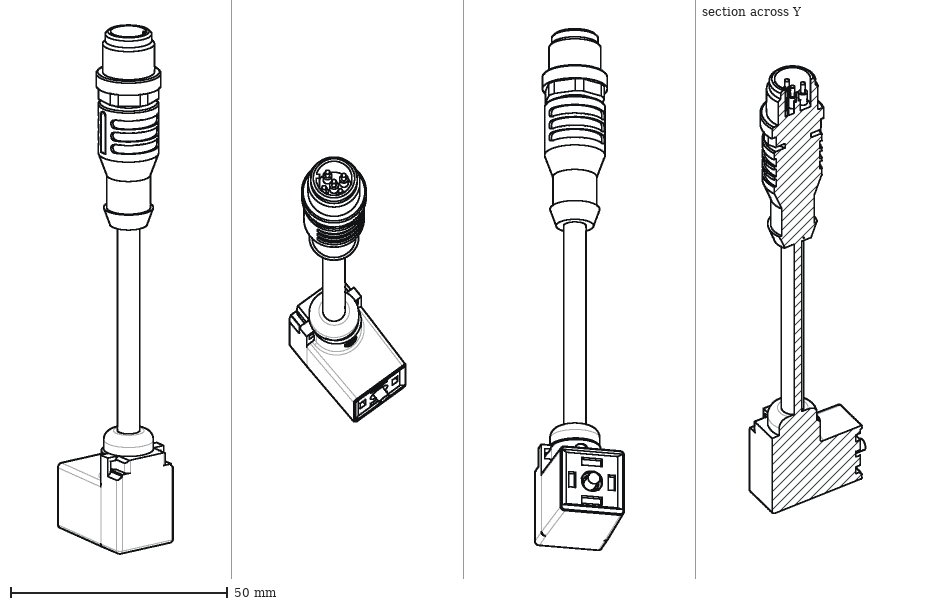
import cadquery as cq
import math


plug_top = 124.1
rim_bottom = 121.9
thread_top = 121.1
flange_top = 114.3
flange_bottom = 111.0
nut_bottom = 108
grip_top = 106.9
grip_bottom = 94.6
tail_top = 89.2
tail_ring_top = 81.3
tail_ring_bottom = 77.2

rim_d = 10.8
thread_d = 12.0
flange_d = 15.0
nut_corner_d = 14.0
neck_d = 8.7
grip_d = 14.0
tail_d = 10.2
tail_ring_d = 11.5
tail_end_d = 8.7
cable_d = 5.2

rim_chamfer = 0.6
flange_chamfer = 0.4
grip_chamfer = 0.4

plug_turn = -4.5
nut_flats = 13.0
groove_depth = 0.5
groove_width = 2.1
groove_pitch = 3.0
groove_middle = 100.5
groove_end_angle = 23
mark_width = 1.9
mark_bottom = 95.7
mark_top = 105.7
mark_depth = 0.2

socket_d = 8.3
socket_depth = 8.1
contact_d = 1.0
collar_d = 2.0
collar_height = 3.1
contact_circle_r = 2.7
contact_recess = 2.4
key_width = 1.0
key_height = 0.7
key_angle = 45

bushing_top = 27.0
bushing_d = 11.5
bushing_round = 2.2
sleeve_top = 22.6
sleeve_shift = 0.9
sleeve_chamfer = 0.6
sleeve_foot_round = 0.6
button_d = 3.4
button_height = 19.4
button_face = 6.2

housing_front = 17.6
housing_top = 15.9
front_width = 15.1
housing_round = 1.0
front_chamfer = 0.2

cover_back = 7.2
cover_width = 16.0
cover_round = 1.0
window_bottom = 19.1
window_top = 21.6
cover_rim = 0.9
notch_start = 2.9
notch_inner = bushing_d / 2
notch_low = 18.1
notch_slope = 1.0
notch_high = 19.5
notch_bevel = 0.7

panel_depth = 0.5
panel_width = 12.2
panel_rim_width = 14.4
panel_bottom = 1.9
panel_top = 14.5
panel_bevel = 0.5
face_height = 8.0
long_slot_width = 4.8
long_slot_height = 1.9
long_slot_offset = 4.7
side_slot_width = 1.6
side_slot_height = 3.7
side_slot_offset = 4.7
slot_depth = 1.2
screw_hole_d = 5
screw_bore_d = 3.8
screw_bore_depth = 2.2
screw_d = 2.9
overall_length_x = 26.7
screw_tip = overall_length_x - flange_d / 2


def cylinder(diameter, bottom, top):
    return cq.Workplane("XY", origin=(0, 0, bottom)).circle(diameter / 2).extrude(top - bottom)


def cone(bottom_d, bottom, top_d, top):
    profile = [(0, bottom), (bottom_d / 2, bottom), (top_d / 2, top), (0, top)]
    return cq.Workplane("XZ").polyline(profile).close().revolve(360, (0, 0), (0, 1))


def block(x_range, y_range, z_range):
    size = [high - low for low, high in (x_range, y_range, z_range)]
    corner = (x_range[0], y_range[0], z_range[0])
    return cq.Workplane("XY").box(*size, centered=False).translate(corner)


def front_cylinder(diameter, tip, depth, height):
    """Cylinder along X that starts at X = -tip and runs toward +X."""
    plane = cq.Workplane("YZ", origin=(-tip, 0, height))
    return plane.circle(diameter / 2).extrude(depth)


def make_nut():
    """Hexagon with its corners turned down to a cylinder."""
    corners_d = nut_flats / math.cos(math.pi / 6)
    hexagon = cq.Workplane("XY", origin=(0, 0, nut_bottom)).polygon(6, corners_d)
    hexagon = hexagon.extrude(flange_bottom - nut_bottom)
    return hexagon.intersect(cylinder(nut_corner_d, nut_bottom, flange_bottom))


def make_grooves():
    """Three rounded grooves around each of the two X sides of the grip."""
    end_x = grip_d / 2 * math.sin(math.radians(groove_end_angle))
    outer_x = grip_d
    ring = cylinder(2 * grip_d, grip_bottom, grip_top)
    ring = ring.cut(cylinder(grip_d - 2 * groove_depth, grip_bottom, grip_top))
    grooves = cq.Workplane("XY")
    for side in (-1, 1):
        for step in (-1, 0, 1):
            center = (side * (end_x + outer_x) / 2, 0, groove_middle + step * groove_pitch)
            bar = cq.Workplane("XZ", origin=center).slot2D(outer_x - end_x, groove_width)
            grooves = grooves.add(bar.extrude(grip_d, both=True).intersect(ring))
    return grooves


def make_mark():
    """Flat-bottomed upright recess with a round top, on the -Y side of the grip."""
    half = mark_width / 2
    plane = cq.Workplane("XZ", origin=(0, mark_depth - grip_d / 2, 0))
    outline = plane.moveTo(-half, mark_bottom).lineTo(half, mark_bottom).lineTo(half, mark_top - half)
    return outline.threePointArc((0, mark_top), (-half, mark_top - half)).close().extrude(grip_d)


def make_grip():
    grip = cylinder(grip_d, grip_bottom, grip_top).faces(">Z").chamfer(grip_chamfer)
    for groove in make_grooves().vals():
        grip = grip.cut(cq.Workplane(groove))
    return grip.cut(make_mark())


def make_socket():
    """Socket cavity with its key and its five contacts left standing."""
    floor = plug_top - socket_depth
    cavity = cylinder(socket_d, floor, plug_top)
    contact_top = plug_top - contact_recess
    spots = [(0, 0)] + [
        (contact_circle_r * math.cos(turn), contact_circle_r * math.sin(turn))
        for turn in (0, math.pi / 2, math.pi, 3 * math.pi / 2)
    ]
    contacts = cq.Workplane("XY", origin=(0, 0, floor)).pushPoints(spots)
    contacts = contacts.circle(contact_d / 2).extrude(contact_top - floor)
    collars = cq.Workplane("XY", origin=(0, 0, floor)).pushPoints(spots)
    contacts = contacts.union(collars.circle(collar_d / 2).extrude(collar_height))
    key_range = (socket_d / 2 - key_height, socket_d)
    key = block(key_range, (-key_width / 2, key_width / 2), (floor, plug_top))
    key = key.rotate((0, 0, 0), (0, 0, 1), key_angle - plug_turn)
    return cavity.cut(contacts).cut(key)


def make_plug():
    plug = cylinder(rim_d, rim_bottom, plug_top).faces(">Z").chamfer(rim_chamfer)
    plug = plug.union(cone(thread_d, thread_top, rim_d, rim_bottom))
    plug = plug.union(cylinder(thread_d, flange_top, thread_top))
    plug = plug.union(cylinder(flange_d, flange_bottom, flange_top).faces(">Z").chamfer(flange_chamfer))
    plug = plug.union(make_nut())
    plug = plug.union(cylinder(neck_d, grip_top, nut_bottom))
    plug = plug.union(make_grip())
    plug = plug.union(cone(tail_d, tail_top, grip_d, grip_bottom))
    plug = plug.union(cylinder(tail_d, tail_ring_top, tail_top))
    plug = plug.union(cone(tail_end_d, tail_ring_bottom, tail_ring_d, tail_ring_top))
    plug = plug.cut(make_socket())
    return plug.rotate((0, 0, 0), (0, 0, 1), plug_turn)


def make_cable():
    """Bare cable and the rounded bushing where it enters the sleeve."""
    cable = cylinder(cable_d, bushing_top, tail_ring_bottom)
    bushing = cylinder(bushing_d, sleeve_top, bushing_top).faces(">Z").fillet(bushing_round)
    return cable.union(bushing)


def make_sleeve():
    """Upright sleeve, straight at the back and round toward -X."""
    radius = bushing_d / 2
    sleeve = cq.Workplane("XY").moveTo(0, radius).lineTo(-sleeve_shift, radius)
    sleeve = sleeve.threePointArc((-sleeve_shift - radius, 0), (-sleeve_shift, -radius))
    sleeve = sleeve.lineTo(0, -radius).close().extrude(sleeve_top)
    return sleeve.faces(">Z").edges("<X").chamfer(sleeve_chamfer)


def make_housing():
    """Housing with sides that widen toward the cover, joined to the sleeve."""
    front_half = front_width / 2
    back_half = cover_width / 2
    plan = [(-housing_front, -front_half), (0, -back_half), (0, back_half), (-housing_front, front_half)]
    housing = cq.Workplane("XY").polyline(plan).close().extrude(housing_top)
    housing = housing.faces("<Z or >Z").edges("not |Y").fillet(housing_round)
    housing = housing.faces("<X").chamfer(front_chamfer)
    housing = housing.union(make_sleeve())

    radius = bushing_d / 2
    margin = sleeve_foot_round / 2
    foot = cq.selectors.BoxSelector(
        (-sleeve_shift - radius - margin, -radius - margin, housing_top - margin),
        (-margin, radius + margin, housing_top + margin), boundingbox=True)
    housing = housing.edges(foot).fillet(sleeve_foot_round)

    button_recess = front_cylinder(button_d, 2 * button_face, button_face, button_height)
    return housing.cut(button_recess)


def make_cover_core():
    """Middle block between the two notches: back corners rounded, top edges beveled."""
    core = block((0, cover_back), (-notch_inner, notch_inner), (0, sleeve_top))
    core = core.edges(">X and |Z").fillet(cover_round)
    shoulder = sleeve_top - notch_bevel
    bevel_inner = notch_inner - notch_bevel
    beveled = [(-notch_inner, 0), (notch_inner, 0), (notch_inner, shoulder), (bevel_inner, sleeve_top),
               (-bevel_inner, sleeve_top), (-notch_inner, shoulder)]
    return core.intersect(cq.Workplane("YZ").polyline(beveled).close().extrude(cover_back))


def make_cover():
    half = cover_width / 2
    step = half - notch_slope
    cover = block((0, cover_back), (-half, half), (0, sleeve_top))
    cover = cover.edges("(>X and |Z) or (<Z and (not |Z) and (not <X))").fillet(cover_round)

    for side in (-1, 1):
        window_y = sorted((side * notch_inner, side * (half - cover_rim)))
        cover = cover.cut(block((0, notch_start), window_y, (window_bottom, window_top)))

    removed = [(-half, notch_low), (-step, notch_low + notch_slope), (-step, notch_high), (step, notch_high),
               (step, notch_low + notch_slope), (half, notch_low), (half, sleeve_top), (-half, sleeve_top)]
    notches = cq.Workplane("YZ", origin=(notch_start, 0, 0)).polyline(removed).close()
    notches = notches.extrude(cover_back - notch_start).cut(make_cover_core())
    return cover.cut(notches)


def make_panel():
    """Recess in the front face with sloped walls."""
    middle = (panel_bottom + panel_top) / 2
    height = panel_top - panel_bottom
    panel = cq.Workplane("YZ", origin=(-housing_front, 0, middle))
    panel = panel.rect(panel_rim_width, height + 2 * panel_bevel)
    return panel.workplane(offset=panel_depth).rect(panel_width, height).loft()


def finish_plug_face(body):
    """Add the panel, the four contact slots and the screw in its stepped hole."""
    body = body.cut(make_panel())
    floor = housing_front - panel_depth
    slot_sizes = [
        (0, long_slot_offset, long_slot_width, long_slot_height),
        (0, -long_slot_offset, long_slot_width, long_slot_height),
        (side_slot_offset, 0, side_slot_width, side_slot_height),
        (-side_slot_offset, 0, side_slot_width, side_slot_height),
    ]
    face = cq.Workplane("YZ", origin=(-floor, 0, face_height))
    for across, up, width, height in slot_sizes:
        body = body.cut(face.center(across, up).rect(width, height).extrude(slot_depth))
    body = body.cut(front_cylinder(screw_hole_d, floor, slot_depth, face_height))
    body = body.cut(front_cylinder(screw_bore_d, floor, screw_bore_depth, face_height))
    screw_length = screw_tip - floor + screw_bore_depth
    return body.union(front_cylinder(screw_d, screw_tip, screw_length, face_height))


housing = finish_plug_face(make_housing().union(make_cover()))
result = housing.union(make_cable()).union(make_plug())